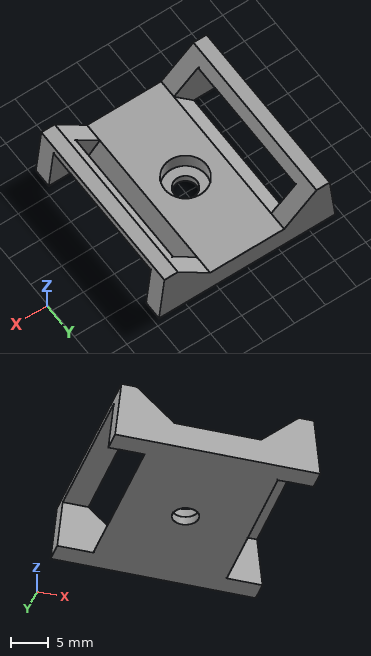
import cadquery as cq

base_width = 28.45
length = 28.35
height = 8.65

top_outer_width = 26.7
top_inner_width = 22.35
floor_width = 11.95
floor_height = 3.8

end_wall = 3.0
window_top = 7.43
core_base_width = 18.5
side_clearance = 0.28

hole_diameter = 3.6
counterbore_diameter = 6.75
counterbore_depth = 2.53


def make_body():
    """Extrude the tapered cradle profile along Y, centred on the origin."""
    right_half = [
        (base_width / 2, 0),
        (top_outer_width / 2, height),
        (top_inner_width / 2, height),
        (floor_width / 2, floor_height),
    ]
    left_half = [(-x, z) for x, z in reversed(right_half)]
    profile = cq.Workplane("XZ").polyline(right_half + left_half).close()
    return profile.extrude(length / 2, both=True)


def make_window(side):
    """Cutter for one side window, bounded inside by the core's sloping flank."""
    outer_x = base_width / 2 + side_clearance
    outline = [
        (side * core_base_width / 2, 0),
        (side * outer_x, 0),
        (side * outer_x, window_top),
        (side * floor_width / 2, window_top),
        (side * floor_width / 2, floor_height),
    ]
    window_length = length - 2 * end_wall
    profile = cq.Workplane("XZ").polyline(outline).close()
    return profile.extrude(window_length / 2, both=True)


result = make_body()
for side in (-1, 1):
    result = result.cut(make_window(side))

result = (
    result.cut(cq.Workplane("XY").circle(hole_diameter / 2).extrude(floor_height))
    .cut(
        cq.Workplane("XY", origin=(0, 0, floor_height - counterbore_depth))
        .circle(counterbore_diameter / 2)
        .extrude(counterbore_depth)
    )
)